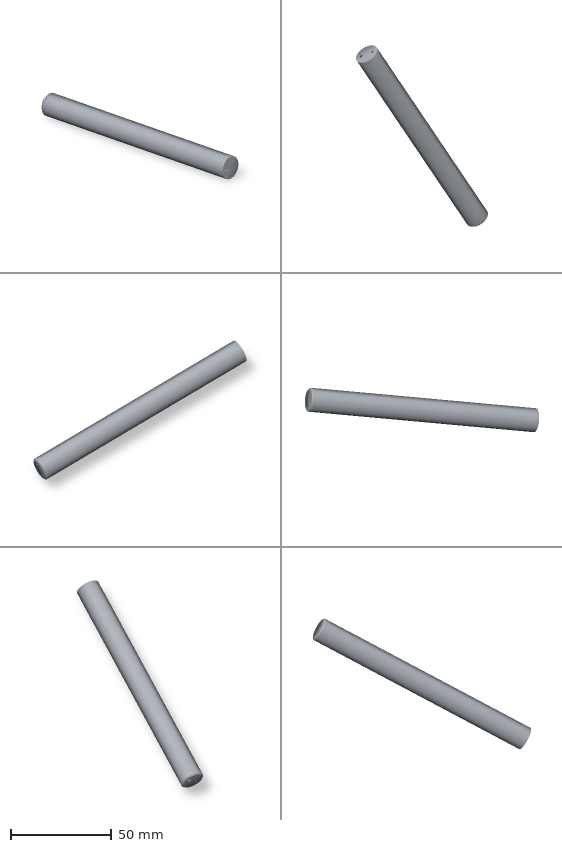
import cadquery as cq
import math

length = 120.0
diameter = 12.0
chamfer = 0.6

channel_diameter = 1.5
channel_spacing = 6.4
channel_start_angle = 52.0
helix_angle = 15.0

pitch = math.pi * diameter / math.tan(math.radians(helix_angle))
twist = 360.0 * length / pitch


def make_rod():
    """Revolve the rod about X, with its chamfer at the X = 0 end."""
    radius = diameter / 2
    profile = (
        cq.Workplane("XY")
        .lineTo(0, radius - chamfer)
        .lineTo(chamfer, radius)
        .lineTo(length, radius)
        .lineTo(length, 0)
        .close()
    )
    return profile.revolve(360, (0, 0, 0), (1, 0, 0))


def make_channel(angle):
    """Sweep one round channel through the rod, twisting about X."""
    return (
        cq.Workplane("YZ")
        .moveTo(
            channel_spacing / 2 * math.cos(math.radians(angle)),
            channel_spacing / 2 * math.sin(math.radians(angle)),
        )
        .circle(channel_diameter / 2)
        .twistExtrude(length, twist)
    )


result = make_rod()
for half_turn in (0, 180):
    result = result.cut(make_channel(channel_start_angle + half_turn))

result = result.translate((-length / 2, 0, 0))